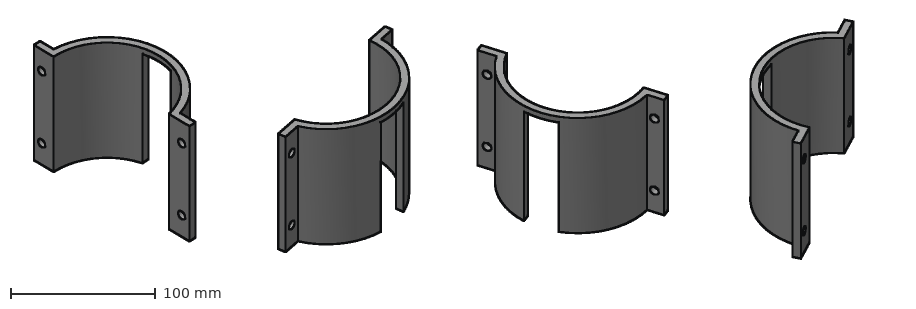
import cadquery as cq
import math

overall_width = 140.21
overall_depth = 57.23
height = 101.6

wall = 6.2
outer_radius = 57.35
inner_radius = outer_radius - wall

flange_end = overall_width / 2
left_flange_front = outer_radius - overall_depth
right_flange_front = 8.9

slot_width = 26.95
bridge_height = 5.25

hole_diameter = 6.7
hole_edge_distance = 7.5
hole_end_distance = 19.05


def half_chord(radius, y):
    """Half width of a circle of the given radius at depth y."""
    return math.sqrt(radius**2 - y**2)


def make_shell():
    """Extrude the arched wall together with its two flanges."""
    left_back = left_flange_front + wall
    right_back = right_flange_front + wall
    profile = (
        cq.Workplane("XY")
        .moveTo(-flange_end, left_flange_front)
        .lineTo(-half_chord(inner_radius, left_flange_front), left_flange_front)
        .threePointArc(
            (0, inner_radius),
            (half_chord(inner_radius, right_flange_front), right_flange_front),
        )
        .lineTo(flange_end, right_flange_front)
        .lineTo(flange_end, right_back)
        .lineTo(half_chord(outer_radius, right_back), right_back)
        .threePointArc(
            (0, outer_radius),
            (-half_chord(outer_radius, left_back), left_back),
        )
        .lineTo(-flange_end, left_back)
        .close()
    )
    return profile.extrude(height)


def make_slot():
    """Block that cuts the slot through the crown of the arch."""
    slot_length = 2 * (outer_radius + wall)
    return cq.Workplane("XY").rect(slot_width, slot_length).extrude(height - bridge_height)


def make_holes():
    """Two cylinders along Y for each flange."""
    hole_x = flange_end - hole_edge_distance
    centers = [
        (x, z)
        for x in (-hole_x, hole_x)
        for z in (hole_end_distance, height - hole_end_distance)
    ]
    return (
        cq.Workplane("XZ")
        .pushPoints(centers)
        .circle(hole_diameter / 2)
        .extrude(overall_depth, both=True)
    )


result = make_shell().cut(make_slot()).cut(make_holes())